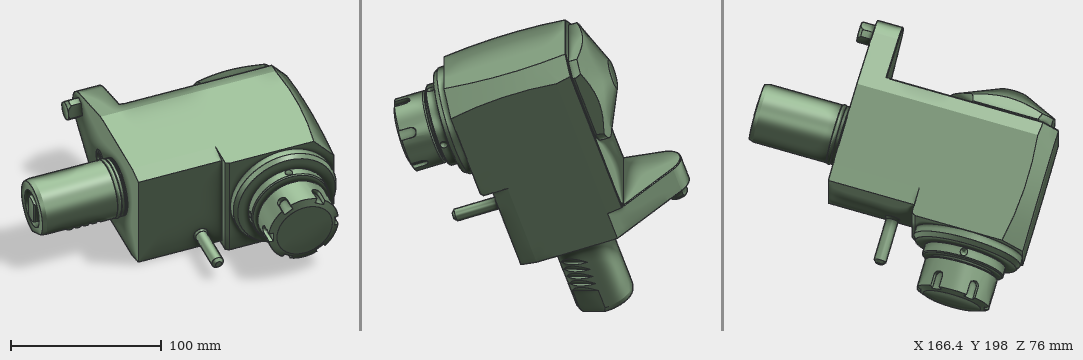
import cadquery as cq
import math


HALF_HEIGHT = 38.0
BODY_LEFT = -39.0
BODY_RIGHT = 39.0
BODY_BACK = 136.6
LEFT_BEVEL_X = -28.7
RIGHT_BEVEL_X = 28.0
BEVEL_SLOPE = math.tan(math.radians(15))
FACE_EDGE = 0.5
HEAD_RIGHT = 46.5
HEAD_FRONT = 59.5
HEAD_EDGE_X = 1.5
HEAD_EDGE_Y = 2.4
BACK_CONE_RADIUS = 237.6
BACK_CONE_EDGE_Y = 127.0
BACK_CONE_SLOPE = math.tan(math.radians(50))
BACK_CONE_REACH = 23.8

FOOT_THICKNESS = 20.0
ARM_THICKNESS = 17.8
ARM_RADIUS = 15.6
ARM_CENTER_X = -63.5
ARM_CENTER_Z = (
    HALF_HEIGHT
    - (LEFT_BEVEL_X - ARM_CENTER_X) * BEVEL_SLOPE
    - ARM_RADIUS * math.hypot(1, BEVEL_SLOPE)
)

SHANK_RADIUS = 20.0
SHANK_END = -60.5
SHANK_CHAMFER_LENGTH = 3.2
SHANK_CHAMFER_DEPTH = 1.0
GROOVE_RADIUS = 19.2
ROOT_GROOVE_START = -0.8
ROOT_GROOVE_END = -1.8
SEAL_GROOVE_START = -4.0
SEAL_GROOVE_END = -7.1
SEAL_RADIUS = 20.5
SEAL_SECTION_RADIUS = 1.4
BORE_RADIUS = 13.0
BORE_DEPTH = 9.9
RACK_ANGLE = -60.0
RACK_FLAT_OFFSET = 17.0
RACK_FLAT_END = -43.5
TOOTH_PITCH = 5.7
TOOTH_COUNT = 5
TOOTH_LAND = 1.2

KEY_END = -61.4
KEY_WIDTH = 11.5
KEY_RADIUS = 9.1
KEY_CHAMFER = 1.2

SPINDLE_Y = 99.5
FLANGE_RADIUS = 36.8
FLANGE_END = 54.6
FLANGE_CHAMFER_LENGTH = 3.2
FLANGE_CHAMFER_DEPTH = 2.0
REAR_NECK_RADIUS = 22.8
RING_START = 55.2
RING_END = 62.8
RING_RADIUS = 28.0
RING_CHAMFER = 0.8
FRONT_NECK_RADIUS = 21.8
NUT_START = 64.7
NUT_END = 87.3
NUT_RADIUS = 25.0
NUT_REAR_CHAMFER = 1.0
NUT_SHOULDER_X = 85.3
NUT_FACE_RADIUS = 19.8
SPANNER_HOLE_RADIUS = 2.5
SPANNER_HOLE_COUNT = 4
NUT_SLOT_COUNT = 6
NUT_SLOT_WIDTH = 6.7
NUT_SLOT_START = 74.6
NUT_SLOT_DEPTH = 3.0

COVER_RADIUS = 40.0
COVER_TIP_X = -59.4
COVER_TIP_RADIUS = 9.9
COVER_RIM_X = -45.0
COVER_BACK = 131.3
COVER_HALF_HEIGHT = 33.5
COVER_CORNER = 8.1
COVER_LIP_X = -40.2
COVER_LIP_STEP = 0.4

BOLT_X = -68.1
BOLT_Z = 14.8
BOLT_HEIGHT = 9.7
BOLT_TILT = 16.0
BOLT_SLABS = ((0, 12.0), (60, 15.8), (120, 12.0))
BOLT_TIP_RADIUS = 6.3
BOLT_BASE_RADIUS = 8.7
BOLT_CONE_HEIGHT = 3.2

PORT_X = -30.0
PORT_OUTER_RADIUS = 6.7
PORT_RIM_RADIUS = 5.7
PORT_HOLE_RADIUS = 4.4
PORT_HEIGHT = 0.5
PORT_HOLE_DEPTH = 1.5

PIN_Y = 44.5
PIN_Z = -25.1
PIN_RADIUS = 4.2
PIN_END = 71.3
PIN_CHAMFER = 2.0
PIN_COLLAR_RADIUS = 5.1
PIN_COLLAR_LENGTH = 1.5


def box(x_range, y_range, z_range):
    """Box between the given limits on each axis."""
    sizes = [high - low for low, high in (x_range, y_range, z_range)]
    corner = (x_range[0], y_range[0], z_range[0])
    return cq.Workplane("XY").box(*sizes, centered=False).translate(corner)


def turned_on_y(profile):
    """Solid of (radius, y) points turned about the Y axis."""
    return cq.Workplane("XY").polyline(profile).close().revolve(360, (0, 0), (0, 1))


def turned_on_x(profile, y=0.0, z=0.0):
    """Solid of (x, radius) points turned about the line parallel to X through y and z."""
    solid = cq.Workplane("XY").polyline(profile).close().revolve(360, (0, 0), (1, 0))
    return solid.translate((0, y, z))


def front_prism(points, y_start, y_end):
    """Prism of an (x, z) outline between two Y positions."""
    plane = cq.Workplane("XZ", origin=(0, y_start, 0))
    return plane.polyline(points).close().extrude(y_start - y_end)


def tangent_point(corner_x, corner_z, side):
    """Touching point on the arm's round end of a line from a corner; side is 1 above and -1 below."""
    dx = corner_x - ARM_CENTER_X
    dz = corner_z - ARM_CENTER_Z
    angle = math.atan2(dz, dx) + side * math.acos(ARM_RADIUS / math.hypot(dx, dz))
    return (ARM_CENTER_X + ARM_RADIUS * math.cos(angle), ARM_CENTER_Z + ARM_RADIUS * math.sin(angle))


def make_foot():
    right_z = HALF_HEIGHT - (BODY_RIGHT - RIGHT_BEVEL_X) * BEVEL_SLOPE
    outline = (
        cq.Workplane("XZ")
        .moveTo(LEFT_BEVEL_X, HALF_HEIGHT)
        .lineTo(RIGHT_BEVEL_X, HALF_HEIGHT)
        .lineTo(BODY_RIGHT, right_z)
        .lineTo(BODY_RIGHT, -right_z)
        .lineTo(RIGHT_BEVEL_X, -HALF_HEIGHT)
        .lineTo(LEFT_BEVEL_X, -HALF_HEIGHT)
        .lineTo(*tangent_point(LEFT_BEVEL_X, -HALF_HEIGHT, -1))
        .threePointArc(
            (ARM_CENTER_X - ARM_RADIUS, ARM_CENTER_Z),
            tangent_point(LEFT_BEVEL_X, HALF_HEIGHT, 1),
        )
        .close()
    )
    foot = outline.extrude(-FOOT_THICKNESS)
    arm_left = ARM_CENTER_X - ARM_RADIUS
    step = box((arm_left, BODY_LEFT), (ARM_THICKNESS, FOOT_THICKNESS), (-HALF_HEIGHT, HALF_HEIGHT))
    foot = foot.cut(step)
    arm_rim = cq.selectors.BoxSelector(
        (arm_left - FACE_EDGE, ARM_THICKNESS - FACE_EDGE, -HALF_HEIGHT),
        (BODY_LEFT - FACE_EDGE, ARM_THICKNESS + FACE_EDGE, HALF_HEIGHT),
    )
    return foot.edges(arm_rim).chamfer(FACE_EDGE)


def make_body():
    left_z = HALF_HEIGHT - (LEFT_BEVEL_X - BODY_LEFT) * BEVEL_SLOPE
    right_z = HALF_HEIGHT - (BODY_RIGHT - RIGHT_BEVEL_X) * BEVEL_SLOPE
    upper_half = [
        (BODY_LEFT, left_z),
        (LEFT_BEVEL_X, HALF_HEIGHT),
        (RIGHT_BEVEL_X, HALF_HEIGHT),
        (BODY_RIGHT, right_z),
    ]
    lower_half = [(x, -z) for x, z in reversed(upper_half)]
    body = front_prism(upper_half + lower_half, FOOT_THICKNESS, BODY_BACK)

    head_profile = [
        (0, HEAD_FRONT),
        (HEAD_RIGHT - HEAD_EDGE_X, HEAD_FRONT),
        (HEAD_RIGHT, HEAD_FRONT + HEAD_EDGE_Y),
        (HEAD_RIGHT, BODY_BACK),
        (0, BODY_BACK),
    ]
    head = cq.Workplane("XY").polyline(head_profile).close().extrude(HALF_HEIGHT, both=True)
    body = body.union(head)

    cone_radius = BACK_CONE_RADIUS + BACK_CONE_REACH
    cone_z = HALF_HEIGHT - BACK_CONE_REACH * BACK_CONE_SLOPE
    cone_profile = [
        (0, HALF_HEIGHT),
        (BACK_CONE_RADIUS, HALF_HEIGHT),
        (cone_radius, cone_z),
        (cone_radius, -cone_z),
        (BACK_CONE_RADIUS, -HALF_HEIGHT),
        (0, -HALF_HEIGHT),
    ]
    cone = cq.Workplane("XZ").polyline(cone_profile).close().revolve(360, (0, 0), (0, 1))
    body = body.intersect(cone.translate((0, BACK_CONE_EDGE_Y - BACK_CONE_RADIUS, 0)))
    return body.faces("<X").edges("not <Y").chamfer(FACE_EDGE)


def make_cover():
    cover = turned_on_x(
        [
            (COVER_TIP_X, 0),
            (COVER_TIP_X, COVER_TIP_RADIUS),
            (COVER_RIM_X, COVER_RADIUS),
            (BODY_LEFT, COVER_RADIUS),
            (BODY_LEFT, 0),
        ],
        y=SPINDLE_Y,
    )
    tip_z = COVER_HALF_HEIGHT - (BODY_LEFT - COVER_TIP_X) * BEVEL_SLOPE
    lip_z = COVER_HALF_HEIGHT - (BODY_LEFT - COVER_LIP_X) * BEVEL_SLOPE
    upper_half = [
        (COVER_TIP_X, tip_z),
        (COVER_LIP_X, lip_z),
        (COVER_LIP_X, lip_z - COVER_LIP_STEP),
        (BODY_LEFT, lip_z - COVER_LIP_STEP),
    ]
    lower_half = [(x, -z) for x, z in reversed(upper_half)]
    cover = cover.intersect(front_prism(upper_half + lower_half, 0, COVER_BACK))

    corner_frame = (
        box((COVER_TIP_X, BODY_LEFT), (0, COVER_BACK), (-COVER_HALF_HEIGHT, COVER_HALF_HEIGHT))
        .edges(">Y and |X")
        .chamfer(COVER_CORNER)
    )
    return cover.intersect(corner_frame)


def make_spindle():
    spindle = turned_on_x(
        [
            (0, 0),
            (0, FLANGE_RADIUS),
            (FLANGE_END - FLANGE_CHAMFER_LENGTH, FLANGE_RADIUS),
            (FLANGE_END, FLANGE_RADIUS - FLANGE_CHAMFER_DEPTH),
            (FLANGE_END, REAR_NECK_RADIUS),
            (RING_START, REAR_NECK_RADIUS),
            (RING_START, RING_RADIUS - RING_CHAMFER),
            (RING_START + RING_CHAMFER, RING_RADIUS),
            (RING_END - RING_CHAMFER, RING_RADIUS),
            (RING_END, RING_RADIUS - RING_CHAMFER),
            (RING_END, FRONT_NECK_RADIUS),
            (NUT_START, FRONT_NECK_RADIUS),
            (NUT_START, NUT_RADIUS - NUT_REAR_CHAMFER),
            (NUT_START + NUT_REAR_CHAMFER, NUT_RADIUS),
            (NUT_SHOULDER_X, NUT_RADIUS),
            (NUT_END, NUT_FACE_RADIUS),
            (NUT_END, 0),
        ]
    )
    hole_x = (RING_START + RING_END) / 2
    hole_depth = SPANNER_HOLE_RADIUS
    tip = cq.Vector(hole_x, 0, RING_RADIUS - hole_depth)
    outward = cq.Vector(0, 0, 1)
    hole = cq.Workplane(cq.Solid.makeCone(0, SPANNER_HOLE_RADIUS, hole_depth, tip, outward))
    for index in range(SPANNER_HOLE_COUNT):
        spindle = spindle.cut(hole.rotate((0, 0, 0), (1, 0, 0), index * 360 / SPANNER_HOLE_COUNT))

    end_x = NUT_SLOT_START + NUT_SLOT_WIDTH / 2
    floor_plane = cq.Workplane("XZ", origin=(0, NUT_SLOT_DEPTH - NUT_RADIUS, 0))
    slot = (
        floor_plane.moveTo(NUT_END, NUT_SLOT_WIDTH / 2)
        .lineTo(end_x, NUT_SLOT_WIDTH / 2)
        .threePointArc((NUT_SLOT_START, 0), (end_x, -NUT_SLOT_WIDTH / 2))
        .lineTo(NUT_END, -NUT_SLOT_WIDTH / 2)
        .close()
        .extrude(NUT_SLOT_DEPTH)
    )
    for index in range(NUT_SLOT_COUNT):
        spindle = spindle.cut(slot.rotate((0, 0, 0), (1, 0, 0), index * 360 / NUT_SLOT_COUNT))
    return spindle.translate((0, SPINDLE_Y, 0))


def make_rack_cutter():
    """Flat at the shank end followed by saw teeth, made on the +X side and turned into place."""
    rack_end = RACK_FLAT_END + TOOTH_COUNT * TOOTH_PITCH
    outside = 2 * SHANK_RADIUS
    profile = [(outside, SHANK_END), (RACK_FLAT_OFFSET, SHANK_END), (RACK_FLAT_OFFSET, RACK_FLAT_END)]
    for index in range(TOOTH_COUNT):
        tooth_y = RACK_FLAT_END + index * TOOTH_PITCH
        profile.append((SHANK_RADIUS, tooth_y + TOOTH_PITCH - TOOTH_LAND))
        profile.append((SHANK_RADIUS, tooth_y + TOOTH_PITCH))
        if index < TOOTH_COUNT - 1:
            profile.append((RACK_FLAT_OFFSET, tooth_y + TOOTH_PITCH))
    profile.append((outside, rack_end))
    cutter = cq.Workplane("XY").polyline(profile).close().extrude(SHANK_RADIUS, both=True)
    return cutter.rotate((0, 0, 0), (0, 1, 0), -RACK_ANGLE)


def make_shank():
    shank = turned_on_y(
        [
            (0, 0),
            (SHANK_RADIUS, 0),
            (SHANK_RADIUS, ROOT_GROOVE_START),
            (GROOVE_RADIUS, ROOT_GROOVE_START),
            (GROOVE_RADIUS, ROOT_GROOVE_END),
            (SHANK_RADIUS, ROOT_GROOVE_END),
            (SHANK_RADIUS, SEAL_GROOVE_START),
            (GROOVE_RADIUS, SEAL_GROOVE_START),
            (GROOVE_RADIUS, SEAL_GROOVE_END),
            (SHANK_RADIUS, SEAL_GROOVE_END),
            (SHANK_RADIUS, SHANK_END + SHANK_CHAMFER_LENGTH),
            (SHANK_RADIUS - SHANK_CHAMFER_DEPTH, SHANK_END),
            (0, SHANK_END),
        ]
    )
    shank = shank.cut(make_rack_cutter())
    bore_floor = SHANK_END + BORE_DEPTH
    shank = shank.cut(cq.Workplane("XZ", origin=(0, bore_floor, 0)).circle(BORE_RADIUS).extrude(BORE_DEPTH))

    seal = (
        cq.Workplane("XY")
        .center(SEAL_RADIUS - SEAL_SECTION_RADIUS, (SEAL_GROOVE_START + SEAL_GROOVE_END) / 2)
        .circle(SEAL_SECTION_RADIUS)
        .revolve(360, (SEAL_SECTION_RADIUS - SEAL_RADIUS, 0), (SEAL_SECTION_RADIUS - SEAL_RADIUS, 1))
    )

    key_rod = cq.Workplane("XZ", origin=(0, bore_floor, 0)).circle(KEY_RADIUS).extrude(bore_floor - KEY_END)
    half_width = KEY_WIDTH / 2
    key_slab = box((-half_width, half_width), (KEY_END, bore_floor), (-KEY_RADIUS, KEY_RADIUS))
    key = key_rod.intersect(key_slab.faces("<Y").edges("|Z").chamfer(KEY_CHAMFER))
    return shank.union(seal).union(key)


def make_bolt_head():
    """Head bounded by three pairs of flats, one pair wider apart, with a coned tip."""
    head = turned_on_y(
        [
            (0, 0),
            (BOLT_BASE_RADIUS, 0),
            (BOLT_BASE_RADIUS, BOLT_CONE_HEIGHT - BOLT_HEIGHT),
            (BOLT_TIP_RADIUS, -BOLT_HEIGHT),
            (0, -BOLT_HEIGHT),
        ]
    )
    for angle, width in BOLT_SLABS:
        slab = box((-width / 2, width / 2), (-BOLT_HEIGHT, 0), (-BOLT_BASE_RADIUS, BOLT_BASE_RADIUS))
        head = head.intersect(slab.rotate((0, 0, 0), (0, 1, 0), -BOLT_TILT - angle))
    return head.translate((BOLT_X, 0, BOLT_Z))


def make_port_ring():
    ring = turned_on_y(
        [
            (0, 0),
            (PORT_OUTER_RADIUS, 0),
            (PORT_RIM_RADIUS, -PORT_HEIGHT),
            (0, -PORT_HEIGHT),
        ]
    )
    return ring.translate((PORT_X, 0, 0))


def make_port_hole():
    plane = cq.Workplane("XZ", origin=(PORT_X, PORT_HOLE_DEPTH - PORT_HEIGHT, 0))
    return plane.circle(PORT_HOLE_RADIUS).extrude(PORT_HOLE_DEPTH)


def make_pin():
    return turned_on_x(
        [
            (0, 0),
            (0, PIN_COLLAR_RADIUS),
            (BODY_RIGHT, PIN_COLLAR_RADIUS),
            (BODY_RIGHT + PIN_COLLAR_LENGTH, PIN_RADIUS),
            (PIN_END - PIN_CHAMFER, PIN_RADIUS),
            (PIN_END, PIN_RADIUS - PIN_CHAMFER),
            (PIN_END, 0),
        ],
        y=PIN_Y,
        z=PIN_Z,
    )


result = make_foot()
for make_piece in (make_body, make_cover, make_spindle, make_shank, make_bolt_head, make_port_ring, make_pin):
    result = result.union(make_piece())
result = result.cut(make_port_hole()).clean()